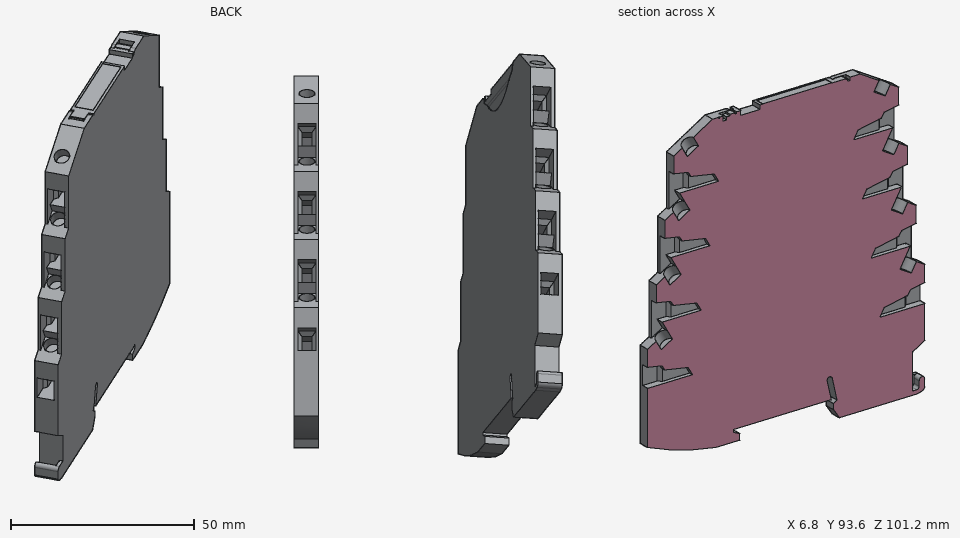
import cadquery as cq
import math

width = 6.8
height = 101.2
half_depth = 46.8
slope_angle = math.radians(30)
slope = math.tan(slope_angle)
feature_x = -0.2
cut_margin = 1.0

tier_count = 4
tier_pitch = 18.5
tier_step = 2.9
top_ledge_z = 76.9
top_half_depth = half_depth - (tier_count - 1) * tier_step
top_flat = 24.9
roof_corner_z = height - (top_half_depth - top_flat) * slope

entry_width = 4.9
entry_height = 6.2
entry_floor_z = 82.1
entry_draft = math.radians(10)
mouth_depth = 4.9
funnel_depth = 1.0
funnel_drop = 1.5
wire_width = 2.8
wire_depth = 7.8
screw_radius = 2.1
screw_depth = 3.4
roof_screw_y = 33.2

rail_z = 6.2
foot_z = 2.4
foot_side_z = 8.7
foot_flat_y = 23.7
foot_mid_y = 35.2
foot_mid_z = 4.8
foot_tip_y = 15.6
foot_catch_z = 4.5
foot_undercut_y = 17.7
foot_undercut_z = 5.5
slot_y = -15.3
slot_radius = 0.8
slot_top_y = -14.7
slot_top_z = 12.3
slot_mouth_y = -17.0
slot_mouth_z = 5.7
clip_y = -15.9
clip_top_z = 4.9
clip_low_z = 3.0
clip_base_y = -17.9

hook_wall_y = -42.7
hook_shoulder_z = half_depth + hook_wall_y
hook_relief_z = 15.4
hook_floor = 1.4
hook_height = 4.9
hook_lip_radius = 1.0
hook_rise_y = -43.7
hook_corner_y = -45.4
hook_corner_low_z = 0.3
hook_corner_z = 1.4
hook_inner_radius = 0.8
hook_web = 1.0

cap_round = 1.9
cap_round_y = 18.2
cap_front = -16.9
cap_back = 16.4
cap_surface_depth = 0.1
cap_notch_back = 15.3
cap_notch_front = 8.9
cap_notch_depth = 1.4
cap_recess = 0.1
cap_bevel_top_z = 97.9
cap_bevel_low_z = 97.2
cap_bevel_y = 13.1
cap_lens_z = 93.2
cap_lens_recess = 0.3
label_width = 5.3
label_back = 8.0
label_front = -15.3
tab_width = 4.3
front_tab_end = -20.7
front_step_length = 0.6
front_step_depth = 0.4
front_slit_width = 0.7
front_slit_depth = 1.0
back_pit_start = 21.3
back_pit_end = 20.1
back_pit_depth = 1.5
back_step_end = 19.0
back_step_depth = 0.6
back_groove_y = 17.2
back_groove_width = 0.4
back_groove_depth = 0.5


def tier_half_depth(tier):
    return top_half_depth + tier * tier_step


def prism(outline, x_middle, x_width):
    """Extrude a closed Y-Z wire along X, centred on x_middle."""
    return outline.extrude(x_width / 2, both=True).translate((x_middle, 0, 0))


def polygon(points):
    return cq.Workplane("YZ").polyline(points).close()


def block(x_middle, x_width, y_front, y_back, z_low, z_high):
    corners = [(y_front, z_low), (y_back, z_low), (y_back, z_high), (y_front, z_high)]
    return prism(polygon(corners), x_middle, x_width)


def both_ends(solid):
    """The solid together with its mirror image on the +Y end."""
    return solid.union(solid.mirror("XZ"))


def stepped_side(sign):
    """Corner points of one end, from the roof down to the lowest tier."""
    points = [(sign * top_flat, height), (sign * top_half_depth, roof_corner_z)]
    for tier in range(tier_count - 1):
        ledge_z = top_ledge_z - tier * tier_pitch
        points.append((sign * tier_half_depth(tier), ledge_z))
        points.append((sign * tier_half_depth(tier + 1), ledge_z - tier_step * slope))
    return points


def housing():
    front = stepped_side(-1)
    back = stepped_side(1)
    relief_low_z = hook_relief_z - hook_shoulder_z * slope
    lip_y = -half_depth + 2 * hook_lip_radius
    lip_z = hook_height - hook_lip_radius
    slot_lean = math.atan2(slot_top_y - slot_mouth_y - slot_radius, slot_top_z - rail_z)
    slot_dy = slot_radius * math.cos(slot_lean)
    slot_dz = slot_radius * math.sin(slot_lean)
    inner_mid = hook_inner_radius * (1 - math.sqrt(0.5))
    outline = (
        cq.Workplane("YZ")
        .polyline(front[::-1] + back)
        .lineTo(half_depth, foot_side_z)
        .threePointArc((foot_mid_y, foot_mid_z), (foot_flat_y, foot_z))
        .lineTo(foot_tip_y, foot_z)
        .lineTo(foot_tip_y, foot_catch_z)
        .lineTo(foot_undercut_y, foot_undercut_z)
        .lineTo(foot_undercut_y, rail_z)
        .lineTo(slot_y, rail_z)
        .lineTo(slot_top_y + slot_dy, slot_top_z - slot_dz)
        .threePointArc(
            (slot_top_y + slot_dz, slot_top_z + slot_dy),
            (slot_top_y - slot_dy, slot_top_z + slot_dz),
        )
        .lineTo(slot_mouth_y, slot_mouth_z)
        .lineTo(clip_y, clip_top_z)
        .lineTo(clip_y, clip_low_z)
        .lineTo(clip_base_y, 0)
        .lineTo(hook_rise_y, 0)
        .lineTo(hook_corner_y, hook_corner_low_z)
        .tangentArcPoint((-half_depth, hook_corner_z), relative=False)
        .lineTo(-half_depth, lip_z)
        .threePointArc((-half_depth + hook_lip_radius, hook_height), (lip_y, lip_z))
        .lineTo(lip_y, hook_floor + hook_inner_radius)
        .threePointArc(
            (lip_y + inner_mid, hook_floor + inner_mid), (lip_y + hook_inner_radius, hook_floor)
        )
        .lineTo(hook_wall_y, hook_floor)
        .lineTo(hook_wall_y, relief_low_z)
        .lineTo(-half_depth, hook_relief_z)
        .close()
    )
    web_x = (width - hook_web) / 2
    web_y = -half_depth + hook_lip_radius
    web = block(web_x, hook_web, web_y, hook_wall_y, hook_floor / 2, hook_height)
    return prism(outline, 0, width).union(web)


def wire_entry(tier):
    """Funnel-shaped wire entry in the -Y face of a tier."""
    face_y = -tier_half_depth(tier)
    floor_z = entry_floor_z - tier * tier_pitch
    funnel_y = face_y + mouth_depth
    funnel_height = entry_height - mouth_depth * math.tan(entry_draft)
    mouth = prism(
        polygon(
            [
                (face_y, floor_z),
                (funnel_y, floor_z),
                (funnel_y, floor_z + funnel_height),
                (face_y, floor_z + entry_height),
            ]
        ),
        feature_x,
        entry_width,
    )
    wire_height = funnel_height - funnel_drop
    funnel = (
        cq.Workplane("XZ", origin=(feature_x, funnel_y, floor_z + funnel_height / 2))
        .rect(entry_width, funnel_height)
        .workplane(offset=-funnel_depth)
        .center(0, -funnel_drop / 2)
        .rect(wire_width, wire_height)
        .loft()
    )
    wire_y = funnel_y + funnel_depth
    wire_end_y = wire_y + wire_depth
    wire_end_height = wire_height - wire_depth * math.tan(entry_draft)
    wire_passage = prism(
        polygon(
            [
                (wire_y, floor_z),
                (wire_end_y + wire_end_height * slope, floor_z),
                (wire_end_y, floor_z + wire_end_height),
                (wire_y, floor_z + wire_height),
            ]
        ),
        feature_x,
        wire_width,
    )
    return mouth.union(funnel).union(wire_passage)


def screw_hole(y, z):
    """Blind hole square to a 30 degree slope on the -Y end, centred at (y, z)."""
    outward = cq.Vector(0, -math.sin(slope_angle), math.cos(slope_angle))
    bottom = cq.Vector(feature_x, y, z) - outward * screw_depth
    return cq.Workplane(cq.Solid.makeCylinder(screw_radius, screw_depth + cut_margin, bottom, outward))


def screw_access(tier):
    """Recess that carries a ledge into the tier above it, with its screw hole."""
    corner_y = -tier_half_depth(tier)
    corner_z = top_ledge_z - tier * tier_pitch
    floor_z = entry_floor_z - tier * tier_pitch
    reach = 2 * screw_radius * math.cos(slope_angle)
    wall_foot_z = corner_z + reach * slope
    wall_top_y = corner_y + reach - (floor_z - wall_foot_z) * slope
    recess = prism(
        polygon(
            [
                (corner_y - cut_margin, corner_z - cut_margin * slope),
                (corner_y + reach, wall_foot_z),
                (wall_top_y, floor_z),
                (corner_y - cut_margin, floor_z),
            ]
        ),
        feature_x,
        entry_width,
    )
    hole = screw_hole(corner_y + reach / 2, corner_z + reach * slope / 2)
    return recess.union(hole)


def terminals():
    roof_screw_z = height - (roof_screw_y - top_flat) * slope
    cuts = screw_hole(-roof_screw_y, roof_screw_z)
    for tier in range(tier_count):
        cuts = cuts.union(wire_entry(tier))
    for tier in range(tier_count - 1):
        cuts = cuts.union(screw_access(tier))
    return both_ends(cuts)


def cap_gap(y_low, y_high, round_y):
    """Gap beside a tab, between the cap and the rounded edge of its opening."""
    low_z = height - cap_round
    gap = block(0, width + 2 * cut_margin, y_low, y_high, low_z, height + cut_margin)
    rounding = prism(cq.Workplane("YZ").center(round_y, low_z).circle(cap_round), 0, width + 4 * cut_margin)
    tab = block(feature_x, tab_width, y_low, y_high, low_z, height + cut_margin)
    return gap.cut(rounding).cut(tab)


def roof_cut(x_width, y_low, y_high, depth, x_middle=feature_x):
    return block(x_middle, x_width, y_low, y_high, height - depth, height + cut_margin)


def cap_top():
    """Everything cut into the roof: the cap surface around its label, the notch, tabs and gaps."""
    full_width = width + 2 * cut_margin
    surface = roof_cut(full_width, cap_front, cap_notch_front, cap_surface_depth)
    label = roof_cut(label_width, label_front, label_back, cap_surface_depth, x_middle=0)
    notch = roof_cut(full_width, cap_notch_front, cap_notch_back, cap_notch_depth)
    front_tab = roof_cut(tab_width, front_tab_end, cap_front, cap_surface_depth)
    back_tab = roof_cut(tab_width, back_groove_y, back_step_end, cap_surface_depth)
    front_gap = cap_gap(-cap_round_y, cap_front, -cap_round_y)
    back_gap = cap_gap(cap_back, cap_round_y, cap_round_y)
    front_slit = roof_cut(tab_width, front_tab_end - front_slit_width, front_tab_end, front_slit_depth)
    front_step = roof_cut(tab_width, front_tab_end, front_tab_end + front_step_length, front_step_depth)
    back_pit = roof_cut(tab_width, back_pit_end, back_pit_start, back_pit_depth)
    back_step = roof_cut(tab_width, back_step_end, back_pit_end, back_step_depth)
    back_groove = roof_cut(tab_width, back_groove_y - back_groove_width, back_groove_y, back_groove_depth)
    cuts = surface.cut(label)
    for cut in (
        notch,
        front_tab,
        front_gap,
        front_slit,
        front_step,
        back_tab,
        back_gap,
        back_groove,
        back_step,
        back_pit,
    ):
        cuts = cuts.union(cut)
    return cuts


def cap_side():
    """Shallow recess in the -X face: the cap, a bevel below it and a curved thumb recess."""
    end_y = cap_round_y - cap_round
    low_z = height - cap_round
    mid = cap_round * math.sqrt(0.5)
    outline = (
        cq.Workplane("YZ", origin=(-width / 2, 0, 0))
        .moveTo(-cap_round_y, height)
        .threePointArc((-cap_round_y + mid, low_z + mid), (-end_y, low_z))
        .lineTo(-cap_bevel_y, cap_bevel_top_z)
        .threePointArc((0, cap_lens_z), (cap_bevel_y, cap_bevel_top_z))
        .lineTo(end_y, low_z)
        .threePointArc((cap_round_y - mid, low_z + mid), (cap_round_y, height))
        .close()
    )
    skin = -width / 2
    steps = (
        cq.Workplane("XZ")
        .moveTo(skin, height)
        .lineTo(skin + cap_recess, height)
        .lineTo(skin + cap_recess, cap_bevel_top_z)
        .lineTo(skin + cap_lens_recess, cap_bevel_low_z)
        .lineTo(skin + cap_lens_recess, cap_lens_z - cut_margin)
        .lineTo(skin, cap_lens_z - cut_margin)
        .close()
        .extrude(cap_round_y, both=True)
    )
    return outline.extrude(cap_lens_recess).intersect(steps)


result = housing().cut(terminals()).cut(cap_top()).cut(cap_side())